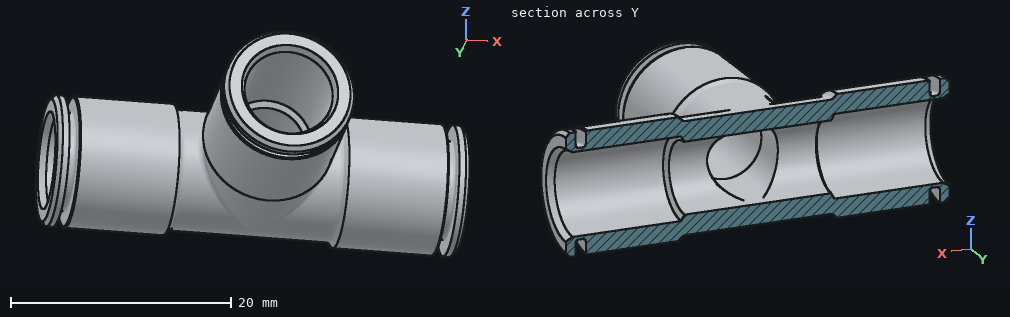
import cadquery as cq

arm_length = 19.0
collar_radius = 12.0 / 2
body_radius = 11.05 / 2
neck_radius = 8.9 / 2
bore_radius = 7.0 / 2

mouth_radius = 8.9 / 2
tube_radius = 8.15 / 2
mouth_depth = 0.7
tube_depth = 11.4
stop_taper = 0.35

collar_width = 1.03
collar_chamfer = 0.4
groove_width = 0.95
groove_fillet = 0.25

sleeve_length = 9.58
sleeve_edge_chamfer = 0.1
shoulder_chamfer = 0.38
shoulder_blend = 0.3
crotch_fillet = 0.5

groove_inner = arm_length - collar_width - groove_width
shoulder = groove_inner - sleeve_length
body_reach = shoulder - shoulder_blend


def along_arm(solid, angle):
    """Turn a solid built along +X about the vertical axis to its arm direction."""
    return solid.rotate((0, 0, 0), (0, 0, 1), angle)


def arm_fitting():
    """Sleeve, grooved neck and release collar, revolved about the X axis."""
    collar_inner = arm_length - collar_width
    shoulder_radius = collar_radius - shoulder_chamfer
    profile = (
        cq.Workplane("XY")
        .moveTo(body_reach, 0)
        .lineTo(body_reach, body_radius)
        .spline([(shoulder, shoulder_radius)], tangents=[(1, 0), (1, 1)], includeCurrent=True)
        .lineTo(shoulder + shoulder_chamfer, collar_radius)
        .lineTo(groove_inner - sleeve_edge_chamfer, collar_radius)
        .lineTo(groove_inner, collar_radius - sleeve_edge_chamfer)
        .lineTo(groove_inner, neck_radius + groove_fillet)
        .radiusArc((groove_inner + groove_fillet, neck_radius), -groove_fillet)
        .lineTo(collar_inner - groove_fillet, neck_radius)
        .radiusArc((collar_inner, neck_radius + groove_fillet), -groove_fillet)
        .lineTo(collar_inner, collar_radius)
        .lineTo(arm_length - collar_chamfer, collar_radius)
        .lineTo(arm_length, collar_radius - collar_chamfer)
        .lineTo(arm_length, 0)
        .close()
    )
    return profile.revolve(360, (0, 0, 0), (1, 0, 0))


def arm_bore():
    """Bore, tube stop, tube socket and flared mouth, revolved about the X axis."""
    socket_end = arm_length - tube_depth
    profile = (
        cq.Workplane("XY")
        .lineTo(0, bore_radius)
        .lineTo(socket_end - stop_taper, bore_radius)
        .lineTo(socket_end, tube_radius)
        .lineTo(arm_length - mouth_depth, tube_radius)
        .lineTo(arm_length, mouth_radius)
        .lineTo(arm_length, 0)
        .close()
    )
    return profile.revolve(360, (0, 0, 0), (1, 0, 0))


arm_angles = (0, 180, -90)

run = cq.Workplane("YZ").circle(body_radius).extrude(body_reach, both=True)
branch = cq.Workplane("YZ").circle(body_radius).extrude(body_reach)
result = run.union(along_arm(branch, -90))
crotch_edges = result.edges("%ELLIPSE")
result = crotch_edges.fillet(crotch_fillet)

for angle in arm_angles:
    result = result.union(along_arm(arm_fitting(), angle))
for angle in arm_angles:
    result = result.cut(along_arm(arm_bore(), angle))